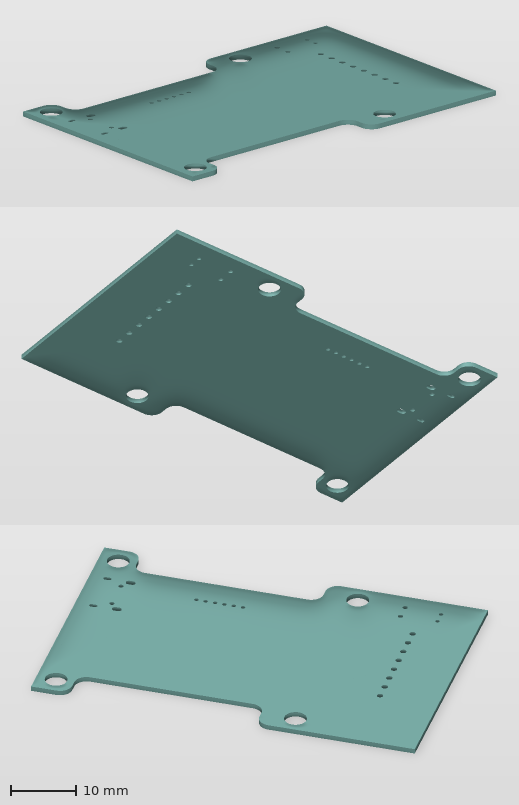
import cadquery as cq

width = 40.0
length = 61.5
thickness = 0.8
waist_width = 30.0
waist_top = 5.3
waist_bottom = -24.7
corner_radius = 1.95
selection_margin = 0.6

mount_diameter = 3.5
mount_spacing = 34.0
mount_rows = (10.75, -27.6)

header_diameter = 1.0
header_pins = 8
header_span = 17.8
header_pitch = header_span / (header_pins - 1)
header_center = (-1.6, 21.45)

column_diameter = 0.7
column_pins = 6
column_span = 7.5
column_pitch = column_span / (column_pins - 1)
column_center = (-10.15, -9.35)

lead_center_x = -15.85
upper_lead_diameter = 0.7
upper_lead_spacing = 1.95
upper_lead_y = 24.2
lower_lead_diameter = 0.8
lower_lead_spacing = 2.5
lower_lead_y = 18.3

connector_x = -8.0
front_slot_spacing = 7.75
front_slot_y = -27.85
front_slot_length = 1.3
front_slot_width = 0.7
rear_slot_spacing = 7.55
rear_slot_y = -24.1
rear_slot_length = 1.55
rear_slot_width = 1.0
peg_diameter = 0.8
peg_spacing = 5.0
peg_y = -25.3


def make_board():
    """Rectangular plate narrowed on both sides by a waist with rounded corners."""
    board = cq.Workplane("XY").box(width, length, thickness)
    notch_depth = (width - waist_width) / 2
    notch_height = waist_top - waist_bottom
    notch_x = (waist_width + notch_depth) / 2
    notch_y = (waist_top + waist_bottom) / 2
    notches = (
        cq.Workplane("XY")
        .pushPoints([(-notch_x, notch_y), (notch_x, notch_y)])
        .box(notch_depth, notch_height, thickness)
    )
    board = board.cut(notches)
    waist_zone = cq.selectors.BoxSelector(
        (-width, waist_bottom - selection_margin, -thickness),
        (width, waist_top + selection_margin, thickness),
    )
    return board.edges("|Z").edges(waist_zone).fillet(corner_radius)


def pair(center_x, spacing, y):
    """Two points at the same Y, evenly either side of center_x."""
    return [(center_x + side * spacing / 2, y) for side in (-1, 1)]


def centered_steps(count, pitch):
    """Evenly pitched offsets balanced about zero."""
    return [(index - (count - 1) / 2) * pitch for index in range(count)]


def drill(board, points, diameter):
    """Round through holes."""
    return board.cut(
        cq.Workplane("XY").pushPoints(points).circle(diameter / 2).extrude(thickness, both=True)
    )


def cut_slots(board, points, slot_length, slot_width):
    """Round-ended through slots running along Y."""
    return board.cut(
        cq.Workplane("XY")
        .pushPoints(points)
        .slot2D(slot_length, slot_width, 90)
        .extrude(thickness, both=True)
    )


result = make_board()

for mount_y in mount_rows:
    result = drill(result, pair(0, mount_spacing, mount_y), mount_diameter)

header_points = [
    (header_center[0] + step, header_center[1])
    for step in centered_steps(header_pins, header_pitch)
]
result = drill(result, header_points, header_diameter)

column_points = [
    (column_center[0], column_center[1] + step)
    for step in centered_steps(column_pins, column_pitch)
]
result = drill(result, column_points, column_diameter)

result = drill(result, pair(lead_center_x, upper_lead_spacing, upper_lead_y), upper_lead_diameter)
result = drill(result, pair(lead_center_x, lower_lead_spacing, lower_lead_y), lower_lead_diameter)

front_slots = pair(connector_x, front_slot_spacing, front_slot_y)
rear_slots = pair(connector_x, rear_slot_spacing, rear_slot_y)
result = cut_slots(result, front_slots, front_slot_length, front_slot_width)
result = cut_slots(result, rear_slots, rear_slot_length, rear_slot_width)
result = drill(result, pair(connector_x, peg_spacing, peg_y), peg_diameter)